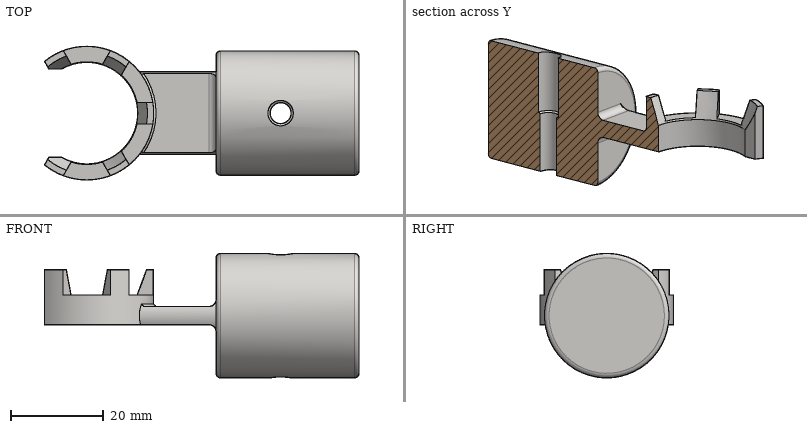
import cadquery as cq
import math

ring_outer_radius = 14.5
ring_inner_radius = 11.0
ring_bottom = -2.0
ring_top = 4.5
mouth_half_width = 9.55

tooth_width = 4.7
tooth_top = 10.0
tooth_spacing = 60.0
tooth_angles = [step * tooth_spacing for step in (-2, -1, 0, 1, 2)]
cone_start = 4.1
cone_slope = 20.0

body_diameter = 27.0
body_start = 28.0
body_length = 31.0
body_edge_radius = 1.0

hole_from_start = 14.0
hole_top_diameter = 5.5
hole_bottom_diameter = 4.5
drill_point_angle = 120.0

arm_width = 18.0
arm_thickness = 4.0
arm_side_radius = 5.0
arm_fillet = 1.5
arm_ring_chamfer = 0.5
arm_overlap = 1.0

cut_reach = 3 * ring_outer_radius


def tooth_strip(angle):
    """Radial bar of one tooth's width, reaching outward from the ring axis."""
    height = tooth_top - ring_top
    strip = cq.Workplane("XY").box(cut_reach, tooth_width, height, centered=(False, True, False))
    return strip.translate((0, 0, ring_top)).rotate((0, 0, 0), (0, 0, 1), angle)


def tube(outer_radius, bottom, top):
    """Upright tube with the ring's bore."""
    return (
        cq.Workplane("XY")
        .workplane(offset=bottom)
        .circle(outer_radius)
        .circle(ring_inner_radius)
        .extrude(top - bottom)
    )


def make_mouth():
    """Opening of the ring, ending at the outer flanks of the two end teeth."""
    end_angle = math.radians(tooth_angles[-1])
    flank_offset = tooth_width / 2
    height = tooth_top - ring_bottom

    apex_x = -flank_offset / math.sin(end_angle)
    far_x = apex_x + cut_reach * math.cos(end_angle)
    far_y = cut_reach * math.sin(end_angle)
    wedge = (
        cq.Workplane("XY")
        .workplane(offset=ring_bottom)
        .polyline([(apex_x, 0), (far_x, far_y), (far_x, -far_y)])
        .close()
        .extrude(height)
    )
    slot = (
        cq.Workplane("XY")
        .box(cut_reach, 2 * mouth_half_width, height, centered=(False, True, False))
        .translate((-cut_reach, 0, ring_bottom))
    )
    return wedge.union(slot)


def make_inner_cone():
    """Cone that slopes the inside faces of the teeth and breaks the ring's inner edge."""
    cone_height = tooth_top - cone_start
    top_radius = ring_inner_radius + cone_height * math.tan(math.radians(cone_slope))
    cone = cq.Solid.makeCone(ring_inner_radius, top_radius, cone_height, cq.Vector(0, 0, cone_start))
    return cq.Workplane(obj=cone)


def make_clip():
    """Open ring with its crown of tapered teeth."""
    clip = tube(ring_outer_radius, ring_bottom, ring_top)
    crown = tube(ring_outer_radius, ring_top, tooth_top)
    for angle in tooth_angles:
        clip = clip.union(crown.intersect(tooth_strip(angle)))
    return clip.cut(make_inner_cone()).cut(make_mouth())


def make_arm():
    """Flat bar with rounded sides, filleted into the body and chamfered up to the ring."""
    half_thickness = arm_thickness / 2
    fillet_x = body_start - arm_fillet
    fillet_z = half_thickness + arm_fillet
    arc_offset = arm_fillet * math.sqrt(0.5)
    arc_x = fillet_x + arc_offset
    arc_z = fillet_z - arc_offset
    arm_end = body_start + arm_overlap
    profile = (
        cq.Workplane("XZ")
        .moveTo(0, -half_thickness)
        .lineTo(fillet_x, -half_thickness)
        .threePointArc((arc_x, -arc_z), (body_start, -fillet_z))
        .lineTo(arm_end, -fillet_z)
        .lineTo(arm_end, fillet_z)
        .lineTo(body_start, fillet_z)
        .threePointArc((arc_x, arc_z), (fillet_x, half_thickness))
        .lineTo(0, half_thickness)
        .close()
        .extrude(arm_width / 2, both=True)
    )
    chamfer_cone = cq.Solid.makeCone(
        ring_outer_radius + arm_ring_chamfer,
        ring_outer_radius,
        arm_ring_chamfer,
        cq.Vector(0, 0, half_thickness),
    )
    chamfer = cq.Workplane(obj=chamfer_cone)
    section = (
        cq.Workplane("YZ")
        .slot2D(arm_width, 2 * arm_side_radius)
        .extrude(arm_end)
    )
    ring_space = (
        cq.Workplane("XY")
        .workplane(offset=ring_bottom)
        .circle((ring_inner_radius + ring_outer_radius) / 2)
        .extrude(tooth_top - ring_bottom)
    )
    return profile.union(chamfer).intersect(section).cut(ring_space)


def make_body():
    """Round body with both end edges rounded."""
    return (
        cq.Workplane("YZ")
        .workplane(offset=body_start)
        .circle(body_diameter / 2)
        .extrude(body_length)
        .faces("<X or >X")
        .edges()
        .fillet(body_edge_radius)
    )


def make_cross_hole():
    """Wide hole from above with a conical floor at the body axis, then a narrower hole out below."""
    wide_radius = hole_top_diameter / 2
    narrow_radius = hole_bottom_diameter / 2
    funnel_depth = (wide_radius - narrow_radius) / math.tan(math.radians(drill_point_angle / 2))
    reach = body_diameter
    return (
        cq.Workplane("XZ")
        .polyline([
            (0, reach),
            (wide_radius, reach),
            (wide_radius, 0),
            (narrow_radius, -funnel_depth),
            (narrow_radius, -reach),
            (0, -reach),
        ])
        .close()
        .revolve(360, (0, 0), (0, 1))
        .translate((body_start + hole_from_start, 0, 0))
    )


result = make_clip().union(make_arm()).union(make_body()).cut(make_cross_hole())